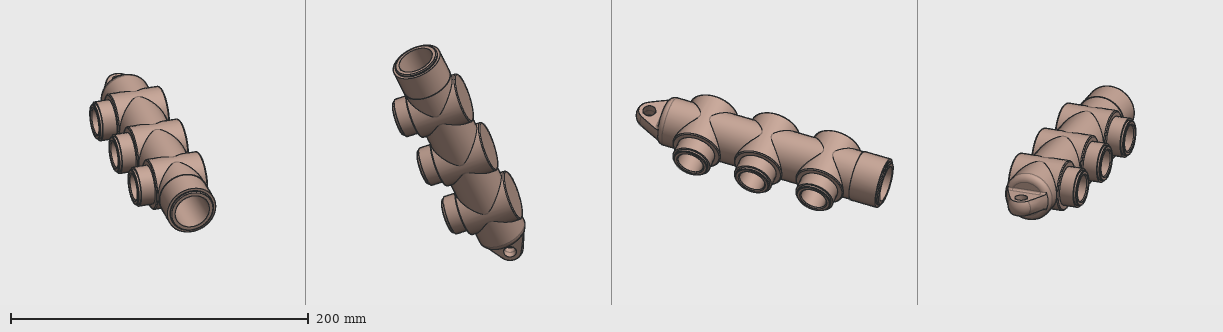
import cadquery as cq
import math

total_length = 178.0
body_diameter = 33.3
body_start = 19.2
body_end_fillet = 4.6
collar_diameter = 34.0
collar_start = 157.7
collar_end = 176.3
lip_diameter = 30.3
lip_chamfer = 0.7
main_bore_diameter = 24.0
end_wall = 8.9

port_count = 3
port_pitch = 44.0
first_port_x = 48.8
port_diameter = 34.0
port_back_y = 18.5
port_front_y = -17.5
rim_chamfer = 0.7
spigot_diameter = 26.5
shoulder_y = -27.0
tip_diameter = 24.0
tip_y = -29.0
tip_chamfer = 0.5
port_bore_diameter = 18.0
bore_chamfer = 0.7

lug_radius = 8.9
lug_hole_diameter = 8.5
lug_thickness = 10.3
lug_end_x = body_start + body_end_fillet
root_fillet = 1.6
seam_margin = 0.2

body_radius = body_diameter / 2


def x_cylinder(diameter, start, end):
    return cq.Workplane("YZ", origin=(start, 0, 0)).circle(diameter / 2).extrude(end - start)


def y_cylinder(diameter, x, front, back):
    return cq.Workplane("XZ", origin=(x, back, 0)).circle(diameter / 2).extrude(back - front)


def make_tube():
    body = x_cylinder(body_diameter, body_start, collar_start)
    body = body.faces("<X").edges().fillet(body_end_fillet)
    collar = x_cylinder(collar_diameter, collar_start, collar_end)
    lip = x_cylinder(lip_diameter, collar_start, total_length)
    lip = lip.faces(">X").edges().chamfer(lip_chamfer)
    return body.union(collar).union(lip)


def make_port(x):
    barrel = y_cylinder(port_diameter, x, port_front_y, port_back_y)
    barrel = barrel.faces("<Y or >Y").edges().chamfer(rim_chamfer)
    spigot = y_cylinder(spigot_diameter, x, shoulder_y, 0)
    tip = y_cylinder(tip_diameter, x, tip_y, 0)
    tip = tip.faces("<Y").edges().chamfer(tip_chamfer)
    return barrel.union(spigot).union(tip)


def cut_port_bore(part, x):
    part = part.cut(y_cylinder(port_bore_diameter, x, tip_y, 0))
    mouth = cq.Workplane("XZ", origin=(x, tip_y, 0)).circle(port_bore_diameter / 2 + bore_chamfer)
    return part.cut(mouth.extrude(-bore_chamfer, taper=45))


def make_lug():
    reach = lug_end_x - lug_radius
    tangent_angle = math.atan2(body_radius, reach) + math.acos(lug_radius / math.hypot(reach, body_radius))
    tangent_x = lug_radius + lug_radius * math.cos(tangent_angle)
    tangent_y = lug_radius * math.sin(tangent_angle)
    arc_middle_angle = (tangent_angle + math.pi) / 2
    arc_middle = (
        lug_radius + lug_radius * math.cos(arc_middle_angle),
        lug_radius * math.sin(arc_middle_angle),
    )
    cone = (
        cq.Workplane("XY")
        .threePointArc(arc_middle, (tangent_x, tangent_y))
        .lineTo(lug_end_x, body_radius)
        .lineTo(lug_end_x, 0)
        .close()
        .revolve(360, (0, 0, 0), (1, 0, 0))
    )
    plate = cq.Workplane("XY").box(2 * lug_end_x, body_diameter, lug_thickness)
    return cone.intersect(plate)


def fillet_lug_root(part):
    for face_z in (-lug_thickness / 2, lug_thickness / 2):
        seam_box = cq.selectors.BoxSelector(
            (body_start - seam_margin, -body_radius, face_z - seam_margin),
            (lug_end_x, body_radius, face_z + seam_margin),
        )
        part = part.edges(seam_box).fillet(root_fillet)
    return part


port_positions = [first_port_x + i * port_pitch for i in range(port_count)]

result = fillet_lug_root(make_tube().union(make_lug()))
for port_x in port_positions:
    result = result.union(make_port(port_x))

result = result.cut(x_cylinder(main_bore_diameter, body_start + end_wall, total_length))
for port_x in port_positions:
    result = cut_port_bore(result, port_x)

lug_hole = cq.Workplane("XY").center(lug_radius, 0).circle(lug_hole_diameter / 2)
result = result.cut(lug_hole.extrude(lug_thickness, both=True))